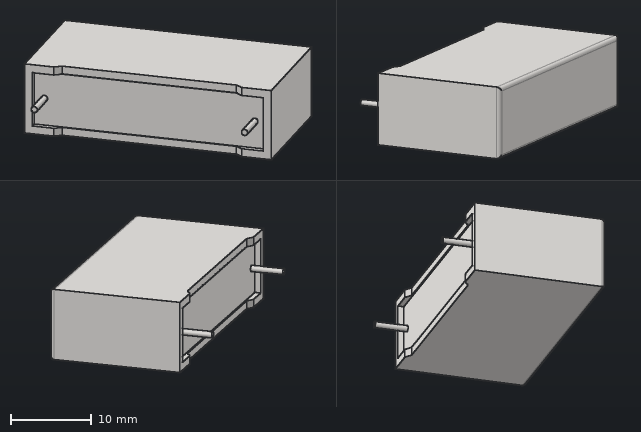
import cadquery as cq


case_length = 32.3
case_height = 17.12
case_thickness = 9.2
wall = 1.05
back_edge_radius = 0.52

relief_depth = 0.6
relief_rim_length = 24.55
relief_floor_length = 22.8

fill_recess = 0.78

lead_diameter = 0.8
lead_pitch = 27.52
lead_protrusion = 3.5

cavity_length = case_length - 2 * wall
cavity_thickness = case_thickness - 2 * wall
fill_height = case_height - wall - fill_recess


def block(length, height, thickness, front_y):
    """Box centred in X and Z that extends towards +Y from front_y."""
    return cq.Workplane("XY").box(length, height, thickness, centered=(True, False, True)).translate(
        (0, front_y, 0)
    )


def make_rim_relief():
    """Trapezoidal cutter that crosses the full thickness of the case."""
    return (
        cq.Workplane("XY")
        .polyline(
            [
                (-relief_rim_length / 2, 0),
                (-relief_floor_length / 2, relief_depth),
                (relief_floor_length / 2, relief_depth),
                (relief_rim_length / 2, 0),
            ]
        )
        .close()
        .extrude(case_thickness / 2, both=True)
    )


def make_case():
    """Open box with rounded back edges and a relieved rim."""
    shell = block(case_length, case_height, case_thickness, 0).faces(">Y").edges().fillet(back_edge_radius)
    cavity = block(cavity_length, case_height - wall, cavity_thickness, 0)
    return shell.cut(cavity).cut(make_rim_relief())


def make_fill():
    """Resin block that fills the cavity up to just below the relieved rim."""
    return block(cavity_length, fill_height, cavity_thickness, fill_recess)


def make_lead(x):
    """Round lead that stands on the fill and projects past the rim."""
    return (
        cq.Workplane("XZ", origin=(x, fill_recess, 0))
        .circle(lead_diameter / 2)
        .extrude(fill_recess + lead_protrusion)
    )


case = make_case()
fill = make_fill()
leads = []
for side in (-1, 1):
    leads.append(make_lead(side * lead_pitch / 2).val())

result = cq.Compound.makeCompound([case.val(), fill.val(), *leads])